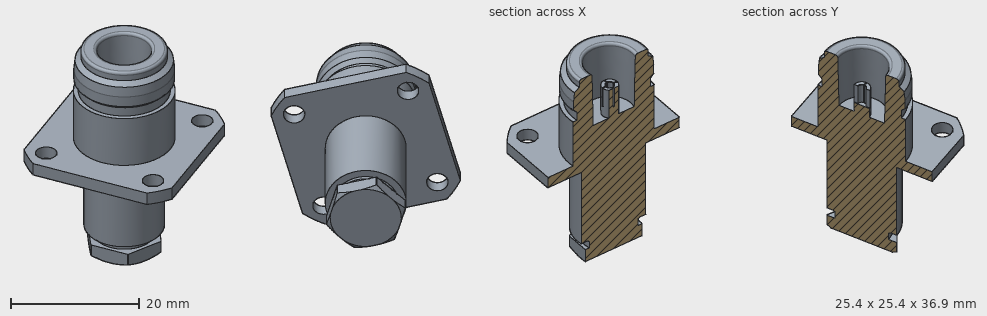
import cadquery as cq
import math

total_height = 36.92

nut_across_flats = 11.0
nut_height = 2.47
nut_corner_radius = 6.3
nut_end_radius = 5.55
nut_chamfer_angle = 30.0

neck_radius = 4.87
neck_top = 3.7
relief_radius = 5.15

body_radius = 6.3
body_bottom = 3.9
flange_side = 25.4
flange_corner_radius = 16.02
flange_bottom = 18.15
flange_thickness = 2.15
hole_offset = 9.15
hole_diameter = 3.32

barrel_radius = 7.95
barrel_top = 29.1
groove_radius = 7.2
groove_top = 30.65
thread_radius = 7.85
thread_bottom = 31.3
thread_top = 33.1
shoulder_radius = 7.68
shoulder_height = 34.8
nose_radius = 6.75
nose_bottom = 35.45
rim_fillet = 0.48

bore_radius = 4.3
bore_floor_radius = 4.05
bore_depth = 10.35
contact_depth = 4.8
contact_radius = 1.4
contact_hole_radius = 0.7
contact_lead_in = 0.07
contact_slot_width = 0.15
contact_slot_depth = 3.7


def cylinder(radius, bottom, top):
    return cq.Workplane("XY").workplane(offset=bottom).circle(radius).extrude(top - bottom)


def make_nut():
    hexagon = (
        cq.Workplane("XY")
        .polygon(6, nut_across_flats / math.cos(math.pi / 6))
        .extrude(nut_height)
    )
    chamfer_height = (nut_corner_radius - nut_end_radius) * math.tan(math.radians(nut_chamfer_angle))
    envelope = (
        cq.Workplane("XZ")
        .polyline([
            (0, 0),
            (nut_end_radius, 0),
            (nut_corner_radius, chamfer_height),
            (nut_corner_radius, nut_height),
            (0, nut_height),
        ])
        .close()
        .revolve(360, (0, 0), (0, 1))
    )
    return hexagon.intersect(envelope)


def make_turned_body():
    bore_floor = total_height - bore_depth
    body = (
        cq.Workplane("XZ")
        .moveTo(0, nut_height)
        .lineTo(neck_radius, nut_height)
        .lineTo(neck_radius, neck_top)
        .lineTo(relief_radius, body_bottom)
        .lineTo(body_radius, body_bottom)
        .lineTo(body_radius, flange_bottom)
        .lineTo(barrel_radius, flange_bottom)
        .lineTo(barrel_radius, barrel_top)
        .lineTo(groove_radius, barrel_top)
        .lineTo(groove_radius, groove_top)
        .lineTo(thread_radius, thread_bottom)
        .lineTo(thread_radius, thread_top)
        .lineTo(shoulder_radius, shoulder_height)
        .lineTo(nose_radius, nose_bottom)
        .lineTo(nose_radius, total_height)
        .lineTo(bore_radius, total_height)
        .lineTo(bore_floor_radius, bore_floor)
        .lineTo(0, bore_floor)
        .close()
        .revolve(360, (0, 0), (0, 1))
    )
    return body.faces(">Z").edges().fillet(rim_fillet)


def make_flange():
    flange_top = flange_bottom + flange_thickness
    plate = (
        cq.Workplane("XY")
        .workplane(offset=flange_bottom)
        .rect(flange_side, flange_side)
        .extrude(flange_thickness)
        .intersect(cylinder(flange_corner_radius, flange_bottom, flange_top))
    )
    return (
        plate.faces(">Z").workplane(origin=(0, 0, flange_top))
        .rect(2 * hole_offset, 2 * hole_offset, forConstruction=True)
        .vertices()
        .hole(hole_diameter)
    )


def make_contact():
    tip = total_height - contact_depth
    slot_bottom = tip - contact_slot_depth
    contact = cylinder(contact_radius, total_height - bore_depth, tip)
    contact = contact.cut(cylinder(contact_hole_radius, slot_bottom, tip))
    hole_mouth = contact.faces(">Z").edges(cq.selectors.RadiusNthSelector(0))
    contact = hole_mouth.chamfer(contact_lead_in)
    for angle in (0, 90):
        slot = (
            cq.Workplane("XY")
            .workplane(offset=slot_bottom)
            .rect(2 * contact_radius, contact_slot_width)
            .extrude(contact_slot_depth)
            .rotate((0, 0, 0), (0, 0, 1), angle)
        )
        contact = contact.cut(slot)
    return contact


result = make_turned_body().union(make_nut()).union(make_flange()).union(make_contact())